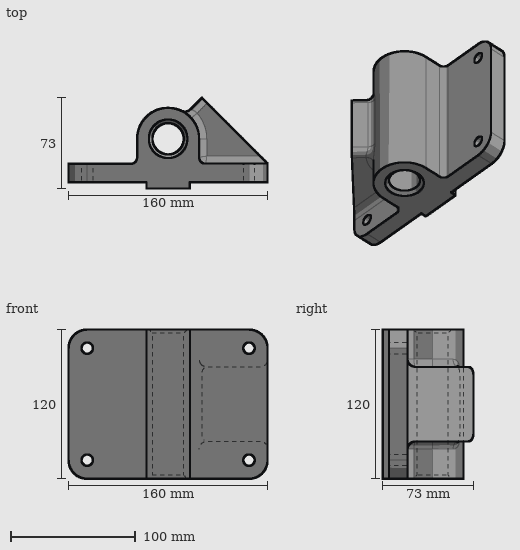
import cadquery as cq

plate_length = 160.0
plate_thickness = 15.0
plate_corner_radius = 15.0
height = 120.0
rail_width = 35.0
rail_depth = 5.0
mount_hole_diameter = 9.0
mount_hole_inset = 15.0

boss_radius = 25.0
boss_center_y = 40.0
bore_diameter = 25.0
bore_chamfer = 3.0
boss_root_radius = 5.0

rib_height = 60.0
rib_tip_y = 73.0
rib_fillet_radius = 6.0

plate_back_y = rail_depth + plate_thickness
plate_end_x = plate_length / 2
rib_tip_x = plate_end_x - (rib_tip_y - plate_back_y)
trim_allowance = 32.0
contact_tolerance = 0.002
selection_margin = 1.6


def box_xy(x_min, x_max, y_min, y_max, z_size):
    """Box with the given X and Y limits, centred on Z = 0."""
    return (
        cq.Workplane("XY")
        .box(x_max - x_min, y_max - y_min, z_size)
        .translate(((x_min + x_max) / 2, (y_min + y_max) / 2, 0))
    )


def make_plate_and_boss():
    plate = box_xy(-plate_end_x, plate_end_x + trim_allowance, rail_depth, plate_back_y, height)
    boss_block = box_xy(-boss_radius, boss_radius, rail_depth, boss_center_y, height)
    boss_round = (
        cq.Workplane("XY", origin=(0, boss_center_y, -height / 2))
        .circle(boss_radius)
        .extrude(height)
    )
    body = plate.union(boss_block).union(boss_round)
    root_edges = cq.selectors.BoxSelector(
        (-boss_radius - selection_margin, plate_back_y - selection_margin, -height),
        (boss_radius + selection_margin, plate_back_y + selection_margin, height),
    )
    return body.edges("|Z").edges(root_edges).fillet(boss_root_radius)


def make_rib():
    """Oversize rib whose end face is square to the slope."""
    inner_y = boss_center_y
    inner_x = rib_tip_x - (rib_tip_y - inner_y)
    plate_middle_y = rail_depth + plate_thickness / 2
    outer_x = plate_end_x + trim_allowance
    return (
        cq.Workplane("XY", origin=(0, 0, -rib_height / 2))
        .moveTo(inner_x, inner_y)
        .lineTo(rib_tip_x + trim_allowance, rib_tip_y + trim_allowance)
        .lineTo(outer_x, rib_tip_y + trim_allowance)
        .lineTo(outer_x, plate_middle_y)
        .lineTo(inner_x, plate_middle_y)
        .close()
        .extrude(rib_height)
    )


def lies_on(edge, body):
    midpoint = cq.Vertex.makeVertex(*edge.positionAt(0.5).toTuple())
    return body.val().distance(midpoint) < contact_tolerance


def blend_rib(plate_and_boss, rib):
    """Join the rib, blend its junction and round the two long edges of its end face."""
    body = plate_and_boss.union(rib)
    junction = [
        edge
        for edge in body.edges().vals()
        if lies_on(edge, rib) and lies_on(edge, plate_and_boss)
    ]
    end_direction = cq.selectors.ParallelDirSelector(cq.Vector(1, 1, 0))
    end_edges = body.edges(end_direction).vals()
    return body.newObject(junction + end_edges).fillet(rib_fillet_radius)


def trim_slope(body):
    """Cut away everything beyond the 45 degree slope and the plate end."""
    reach = 2 * plate_length
    beyond = (
        cq.Workplane("XY")
        .moveTo(plate_end_x, plate_back_y)
        .lineTo(plate_end_x - reach, plate_back_y + reach)
        .lineTo(plate_end_x + reach, plate_back_y + reach)
        .lineTo(plate_end_x + reach, -reach)
        .lineTo(plate_end_x, -reach)
        .close()
        .extrude(height, both=True)
    )
    return body.cut(beyond)


def round_plate_corners(body):
    return body.intersect(
        cq.Workplane("XZ")
        .rect(plate_length, height)
        .extrude(plate_length, both=True)
        .edges("|Y")
        .fillet(plate_corner_radius)
    )


def cut_holes(body):
    mount_holes = (
        cq.Workplane("XZ")
        .rect(plate_length - 2 * mount_hole_inset, height - 2 * mount_hole_inset, forConstruction=True)
        .vertices()
        .circle(mount_hole_diameter / 2)
        .extrude(plate_length, both=True)
    )
    bore = (
        cq.Workplane("XY", origin=(0, boss_center_y, -height / 2))
        .circle(bore_diameter / 2)
        .extrude(height)
    )
    body = body.cut(mount_holes).cut(bore)
    for end in (-1, 1):
        countersink = cq.Solid.makeCone(
            bore_diameter / 2 + bore_chamfer,
            bore_diameter / 2,
            bore_chamfer,
            pnt=cq.Vector(0, boss_center_y, end * height / 2),
            dir=cq.Vector(0, 0, -end),
        )
        body = body.cut(cq.Workplane(obj=countersink))
    return body


rail = box_xy(-rail_width / 2, rail_width / 2, 0, rail_depth, height)
result = blend_rib(make_plate_and_boss(), make_rib())
result = trim_slope(result)
result = round_plate_corners(result)
result = cut_holes(result).union(rail).clean()